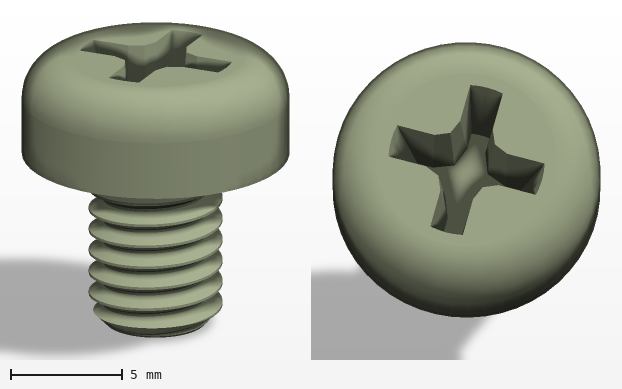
import cadquery as cq
import math

total_height = 12.6
head_diameter = 12.0
head_height = 4.6
head_rounding = 1.95
thread_diameter = 6.0
tip_diameter = 4.5

pitch = thread_diameter / 6
flank_slope = math.tan(math.radians(30))
crest_drop_at_x = 0.2
flat_width = pitch / 8
thread_depth = 0.75 * pitch * math.cos(math.radians(30))
spare_turns = 2
ridge_sink = 0.04
trim_clearance = 0.13

recess_depth = 4.03
top_reach = 3.5
top_half_width = 0.75
top_web_start = 1.69
top_web_corner = 1.03
floor_reach = 2.43
floor_half_width = 0.42
floor_web_start = 1.68
floor_web_corner = 0.77

shaft_length = total_height - head_height
head_radius = head_diameter / 2
thread_radius = thread_diameter / 2
root_radius = thread_radius - thread_depth
tip_chamfer = (thread_diameter - tip_diameter) / 2


def make_head():
    """Round head with a rounded upper rim."""
    base = cq.Workplane("XY").workplane(offset=shaft_length)
    head = base.circle(head_radius).extrude(head_height)
    return head.faces(">Z").edges().fillet(head_rounding)


def make_thread_ridge():
    """Right-handed helical ridge, sunk into the core and running past both ends of the shaft."""
    crest_half = flat_width / 2
    base_radius = root_radius - ridge_sink
    base_half = crest_half + (thread_radius - base_radius) * flank_slope
    first_crest = shaft_length - crest_drop_at_x
    pitches_below = math.ceil(first_crest / pitch) + spare_turns
    start_z = first_crest - pitches_below * pitch
    ridge_length = (pitches_below + spare_turns) * pitch
    helix = cq.Wire.makeHelix(pitch, ridge_length, root_radius, center=cq.Vector(0, 0, start_z))
    profile = cq.Workplane("XZ").polyline([
        (base_radius, start_z - base_half),
        (thread_radius, start_z - crest_half),
        (thread_radius, start_z + crest_half),
        (base_radius, start_z + base_half),
    ]).close()
    return profile.sweep(cq.Workplane(obj=helix), isFrenet=True)


def make_shaft():
    """Threaded shaft, trimmed flat under the head and to a chamfer at the tip."""
    core_overrun = (spare_turns + 2) * pitch
    core = (
        cq.Workplane("XY").workplane(offset=-core_overrun)
        .circle(root_radius).extrude(shaft_length + 2 * core_overrun)
    )
    trim = cq.Workplane("XY").circle(thread_radius + trim_clearance).extrude(shaft_length)
    trim = trim.faces("<Z").edges().chamfer(tip_chamfer + trim_clearance)
    return core.union(make_thread_ridge()).intersect(trim)


def cross_points(reach, half_width, web_start, web_corner):
    """Corners of a four-armed cross, counterclockwise from the +X arm."""
    arm = [
        (reach, -half_width),
        (reach, half_width),
        (web_start, half_width),
        (web_corner, web_corner),
        (half_width, web_start),
    ]
    points = []
    for c, s in [(1, 0), (0, 1), (-1, 0), (0, -1)]:
        points += [(x * c - y * s, x * s + y * c) for x, y in arm]
    return points


def make_recess():
    """Tapered cross whose arm ends lie on a cone."""
    floor_z = total_height - recess_depth
    floor_cross = cross_points(top_reach, floor_half_width, floor_web_start, floor_web_corner)
    top_cross = cross_points(top_reach, top_half_width, top_web_start, top_web_corner)
    cross = (
        cq.Workplane("XY").workplane(offset=floor_z).polyline(floor_cross).close()
        .workplane(offset=recess_depth).polyline(top_cross).close()
        .loft(ruled=True)
    )
    cone = (
        cq.Workplane("XY").workplane(offset=floor_z).circle(floor_reach)
        .workplane(offset=recess_depth).circle(top_reach)
        .loft(ruled=True)
    )
    return cross.intersect(cone)


result = make_head().union(make_shaft()).cut(make_recess())